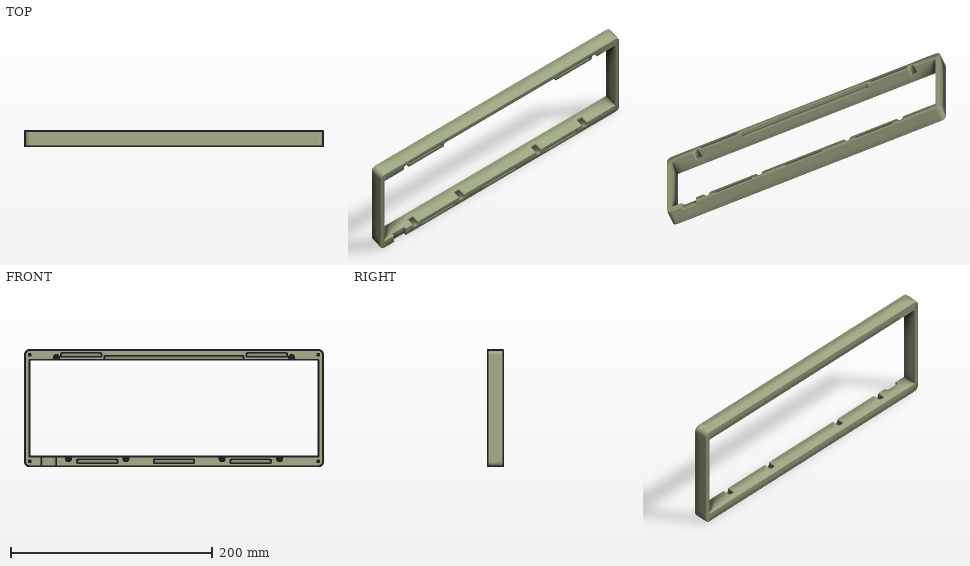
import cadquery as cq
import math

length = 296.2
depth = 15.5
height = 115.8
side_wall = 4.7
rail = 10.0
corner_radius = 5.0
back_fillet = 1.0

hole_diameter = 2.0
hole_depth = 9.0
hole_inset = 5.0

notch_radius = 2.7
notch_depth = 8.5
notch_center_inset = 2.5
notch_flare = 1.5
pilot_depth = 3.0
top_notch_x = 116.7
bottom_notch_xs = (105.0, 47.7)

slot_length = 40.5
slot_width = 3.9
slot_depth = 1.8
slot_edge_distance = 5.0
slot_corner_radius = 1.5
slot_floor_fillet = 0.5
top_slot_xs = (-92.0, 92.0)
bottom_slot_xs = (-76.0, 0.0, 76.0)

recess_length = 138.5
recess_rise = 4.5
recess_depth = 4.5
recess_corner_radius = 1.8

channel_left = -131.8
channel_width = 14.8
channel_depth = 3.0
channel_floor_fillet = 1.5

window_top = height / 2 - rail


def box(x_size, z_size, y_start, y_size, x=0.0, z=0.0):
    """Block centred at (x, z) that runs from y_start toward +Y."""
    return cq.Workplane("XY").box(x_size, y_size, z_size).translate((x, y_start + y_size / 2, z))


def cylinder(radius, y_start, y_size, x, z):
    """Round bar along +Y from y_start."""
    return cq.Workplane("XZ", origin=(x, y_start, z)).circle(radius).extrude(-y_size)


def frame():
    outer = box(length, height, 0, depth).edges("|Y").fillet(corner_radius)
    outer = outer.faces(">Y").edges().fillet(back_fillet)
    return outer.cut(box(length - 2 * side_wall, 2 * window_top, 0, depth))


def screw_notch(x, side):
    """Round-bottomed notch with flared mouth and pilot hole; side is +1 on the top rail, -1 on the bottom."""
    center_z = side * (window_top + notch_center_inset)
    mouth_z = side * window_top
    flare_z = mouth_z + side * notch_flare
    flare_mid = notch_flare * (1 - math.sqrt(0.5))
    half_mouth = notch_radius + notch_flare
    outline = (
        cq.Workplane("XZ", origin=(x, 0, 0))
        .moveTo(-half_mouth, mouth_z)
        .threePointArc((-notch_radius - flare_mid, mouth_z + side * flare_mid), (-notch_radius, flare_z))
        .lineTo(-notch_radius, center_z)
        .threePointArc((0, center_z + side * notch_radius), (notch_radius, center_z))
        .lineTo(notch_radius, flare_z)
        .threePointArc((notch_radius + flare_mid, mouth_z + side * flare_mid), (half_mouth, mouth_z))
        .close()
    )
    hole = cylinder(hole_diameter / 2, 0, notch_depth + pilot_depth, x, center_z)
    return outline.extrude(-notch_depth).union(hole)


def slot(x, side):
    """Shallow slot with rounded corners and a filleted floor; side is +1 on the top rail, -1 on the bottom."""
    z = side * (height / 2 - slot_edge_distance)
    body = box(slot_length, slot_width, 0, slot_depth, x, z).edges("|Y").fillet(slot_corner_radius)
    return body.faces(">Y").edges().fillet(slot_floor_fillet)


def top_recess():
    """Recess in the top rail; its lower half lies in the open window."""
    body = box(recess_length, 2 * recess_rise, 0, recess_depth, 0, window_top)
    return body.edges("|Y").fillet(recess_corner_radius)


def channel():
    """Channel across the full height of the bottom rail, with rounded floor corners."""
    x = channel_left + channel_width / 2
    body = box(channel_width, 2 * rail, 0, channel_depth, x, -height / 2)
    return body.edges("|Z and >Y").fillet(channel_floor_fillet)


result = frame()
for side_x in (-1, 1):
    for side_z in (-1, 1):
        hole_x = side_x * (length / 2 - hole_inset)
        hole_z = side_z * (height / 2 - hole_inset)
        result = result.cut(cylinder(hole_diameter / 2, 0, hole_depth, hole_x, hole_z))
    result = result.cut(screw_notch(side_x * top_notch_x, 1))
    for notch_x in bottom_notch_xs:
        result = result.cut(screw_notch(side_x * notch_x, -1))
for slot_x in top_slot_xs:
    result = result.cut(slot(slot_x, 1))
for slot_x in bottom_slot_xs:
    result = result.cut(slot(slot_x, -1))
result = result.cut(top_recess()).cut(channel())